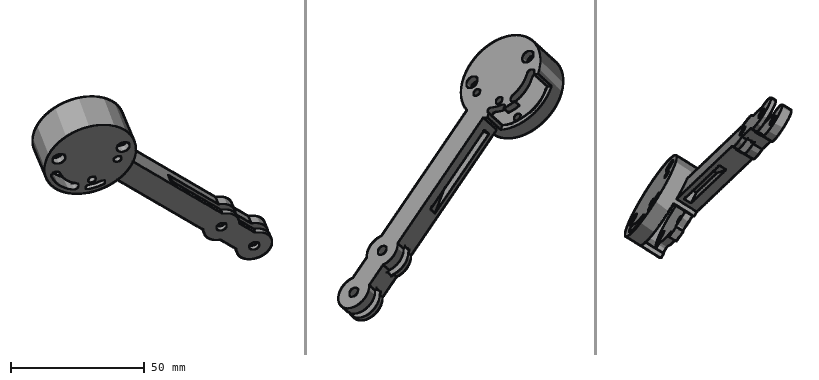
import cadquery as cq
import math


total_width = 15.5
drum_radius = 18.0
cavity_radius = 15.8
cover_thickness = 3.3
back_thickness = 3.3
cavity_end = total_width - back_thickness
window_start = 199.8
window_end = 289.5

arm_width = 9.1
arm_height = 10.0
lobe_radius = 7.0
pin_diameter = 4.0
middle_hinge = (53.5, -59.5)
end_hinge = (66.4, -73.9)

slot_start = 4.1
slot_width = 3.0
slot_wall_angle = -66.5
middle_wall_distance = 6.2
end_wall_distance = 5.6
clearance_radius = 7.7
notch_start = 20.5
notch_end = 57.0
notch_depth = 5.1

screw_diameter = 5.0
screw_centers = [(13.0, 2.8), (-12.3, 4.1)]
dowel_diameter = 3.0
dowel_centers = [(10.8, -3.1), (0.7, -11.2)]

wide_slot = (14.2, 3.4, 197.8, 244.1)
narrow_slot = (14.8, 2.3, 267.3, 288.7)

end_distance = math.hypot(*end_hinge)
arm_angle = math.degrees(math.atan2(end_hinge[1], end_hinge[0]))
slot_reach = 39.6


def plane_at(x):
    return cq.Workplane("YZ", origin=(x, 0, 0))


def disc(center, radius, x_start, width):
    return plane_at(x_start).center(*center).circle(radius).extrude(width)


def polar(radius, angle):
    a = math.radians(angle)
    return (radius * math.cos(a), radius * math.sin(a))


def ring_sector(inner, outer, start, end, x_start, width):
    """Part of a ring around the drum axis."""
    middle = (start + end) / 2
    return (
        plane_at(x_start)
        .moveTo(*polar(inner, start))
        .lineTo(*polar(outer, start))
        .threePointArc(polar(outer, middle), polar(outer, end))
        .lineTo(*polar(inner, end))
        .threePointArc(polar(inner, middle), polar(inner, start))
        .close()
        .extrude(width)
    )


def curved_slot(radius, width, start, end):
    half = width / 2
    slot = ring_sector(radius - half, radius + half, start, end, 0, total_width)
    for angle in (start, end):
        slot = slot.union(disc(polar(radius, angle), half, 0, total_width))
    return slot


def hinge_slot(hinge, wall_distance):
    """Round clearance about the hinge, with a band above it ending at a slanted wall."""
    band = (
        plane_at(slot_start)
        .center(*hinge)
        .transformed(rotate=(0, 0, slot_wall_angle))
        .moveTo(0, -wall_distance)
        .lineTo(-slot_reach, -wall_distance)
        .lineTo(-slot_reach, clearance_radius)
        .lineTo(0, clearance_radius)
        .close()
        .extrude(slot_width)
    )
    return band.union(disc(hinge, clearance_radius, slot_start, slot_width))


def underside_notch():
    """Recess parallel to the arm, with a slanted wall at its far end."""
    underside = -arm_height / 2
    floor = underside + notch_depth
    run_out = notch_depth / math.tan(math.radians(arm_angle - slot_wall_angle))
    return (
        plane_at(slot_start)
        .transformed(rotate=(0, 0, arm_angle))
        .polyline([
            (notch_start, underside),
            (notch_start, floor),
            (notch_end - run_out, floor),
            (notch_end, underside),
        ])
        .close()
        .extrude(slot_width)
    )


arm = (
    plane_at(0)
    .transformed(rotate=(0, 0, arm_angle))
    .center(end_distance / 2, 0)
    .rect(end_distance, arm_height)
    .extrude(arm_width)
)
result = disc((0, 0), drum_radius, 0, total_width).union(arm)
for hinge in (middle_hinge, end_hinge):
    result = result.union(disc(hinge, lobe_radius, 0, arm_width))

result = result.cut(disc((0, 0), cavity_radius, cover_thickness, cavity_end - cover_thickness))
cut_radius = drum_radius + 1.0
result = result.cut(ring_sector(cavity_radius, cut_radius, window_start, window_end, 0, arm_width))

for center in screw_centers:
    result = result.cut(disc(center, screw_diameter / 2, 0, total_width))
for center in dowel_centers:
    result = result.cut(disc(center, dowel_diameter / 2, 0, total_width))
for slot in (wide_slot, narrow_slot):
    result = result.cut(curved_slot(*slot))

result = result.cut(hinge_slot(middle_hinge, middle_wall_distance))
result = result.cut(hinge_slot(end_hinge, end_wall_distance))
result = result.cut(underside_notch())
for hinge in (middle_hinge, end_hinge):
    result = result.cut(disc(hinge, pin_diameter / 2, 0, arm_width))